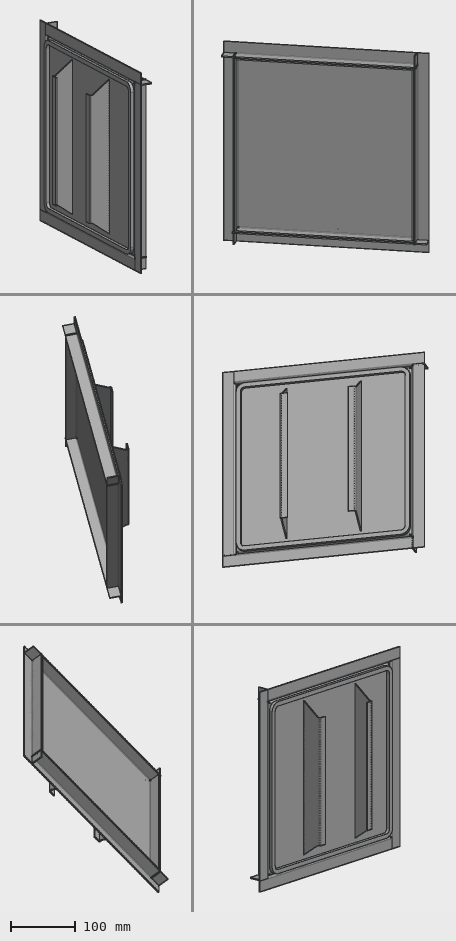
import cadquery as cq

FRAME_SIZE = 323.8
FRAME_HALF = FRAME_SIZE / 2

LEG = 20.0
ANGLE_THICKNESS = 2.0
ANGLE_INNER_RADIUS = 0.5
ANGLE_OUTER_RADIUS = ANGLE_THICKNESS + ANGLE_INNER_RADIUS
ANGLE_COUNT = 4
TAB_LENGTH = 1.0

PAN_GAP = 0.8
PAN_THICKNESS = 2.0
PAN_BEND_RADIUS = 3.0
PAN_SIZE = FRAME_SIZE - 2 * (LEG + PAN_GAP)
PAN_FRONT = 1.0
PAN_DEPTH = LEG - PAN_FRONT

GASKET_SIZE = 278.8
GASKET_WIDTH = 7.0
GASKET_PROTRUSION = 5.0
GASKET_THICKNESS = GASKET_PROTRUSION + PAN_FRONT
GASKET_OUTER_RADIUS = 14.2
GASKET_INNER_RADIUS = GASKET_OUTER_RADIUS - GASKET_WIDTH

BRACKET_REACH = 34.0
BRACKET_SPACING = 121.5
BRACKET_THICKNESS = 2.0
BRACKET_BEND_RADIUS = 2.3
BRACKET_BASE_LENGTH = 250.0
LIP_LENGTH = 207.2
LIP_WIDTH = 12.0
LIP_STRAIGHT_EDGE = 5.2


def plate(width, height, thickness, front):
    """Rectangular block centred on the Y axis, with its front face at Y = front."""
    return cq.Workplane("XY").box(width, thickness, height).translate((0, front + thickness / 2, 0))


def make_top_angle():
    """Top angle: flange at the front, web folded back along the inner edge."""
    web_face = LEG - ANGLE_THICKNESS
    start = -FRAME_HALF + web_face
    web_bottom = FRAME_HALF - LEG
    web_top = FRAME_HALF - web_face
    length = FRAME_HALF - start
    angle = (
        cq.Workplane("YZ", origin=(start, 0, 0))
        .moveTo(0, FRAME_HALF)
        .lineTo(ANGLE_THICKNESS, FRAME_HALF)
        .lineTo(ANGLE_THICKNESS, web_top + ANGLE_INNER_RADIUS)
        .radiusArc((ANGLE_THICKNESS + ANGLE_INNER_RADIUS, web_top), -ANGLE_INNER_RADIUS)
        .lineTo(LEG, web_top)
        .lineTo(LEG, web_bottom)
        .lineTo(ANGLE_OUTER_RADIUS, web_bottom)
        .radiusArc((0, web_bottom + ANGLE_OUTER_RADIUS), ANGLE_OUTER_RADIUS)
        .close()
        .extrude(length)
    )
    tab_front = ANGLE_THICKNESS + ANGLE_INNER_RADIUS
    tab = cq.Workplane("XY").box(
        TAB_LENGTH, LEG - tab_front, ANGLE_THICKNESS, centered=False
    ).translate((start - TAB_LENGTH, tab_front, web_bottom))
    return angle.union(tab)


def make_frame_angles():
    """Four angles around the Y axis; the far end of each is notched for the start of the next."""
    top_angle = make_top_angle()
    turn = 360 / ANGLE_COUNT
    blanks = [top_angle.rotate((0, 0, 0), (0, 1, 0), turn * i) for i in range(ANGLE_COUNT)]
    return [blanks[i].cut(blanks[(i + 1) % ANGLE_COUNT]) for i in range(ANGLE_COUNT)]


def make_pan():
    """Square pan with an open back, bent front edges and relief notches where the bends meet."""
    pan = plate(PAN_SIZE, PAN_SIZE, PAN_DEPTH, PAN_FRONT).faces("<Y").edges().fillet(PAN_BEND_RADIUS)
    inner_size = PAN_SIZE - 2 * PAN_THICKNESS
    cavity = (
        plate(inner_size, inner_size, PAN_DEPTH - PAN_THICKNESS, PAN_FRONT + PAN_THICKNESS)
        .faces("<Y").edges().fillet(PAN_BEND_RADIUS - PAN_THICKNESS)
    )
    corner_centre = (PAN_SIZE - PAN_BEND_RADIUS) / 2
    notches = plate(PAN_BEND_RADIUS, PAN_BEND_RADIUS, PAN_BEND_RADIUS, PAN_FRONT)
    for x_side in (-1, 1):
        for z_side in (-1, 1):
            pan = pan.cut(notches.translate((x_side * corner_centre, 0, z_side * corner_centre)))
    return pan.cut(cavity)


def make_gasket():
    """Ring of constant width standing on the front of the pan."""
    inner_size = GASKET_SIZE - 2 * GASKET_WIDTH
    outer = (
        plate(GASKET_SIZE, GASKET_SIZE, GASKET_THICKNESS, -GASKET_PROTRUSION)
        .edges("|Y").fillet(GASKET_OUTER_RADIUS)
    )
    opening = (
        plate(inner_size, inner_size, GASKET_THICKNESS, -GASKET_PROTRUSION)
        .edges("|Y").fillet(GASKET_INNER_RADIUS)
    )
    return outer.cut(opening)


def make_left_bracket():
    """Tapered plate on the -X side with its lip pointing toward +X."""
    outer_x = -BRACKET_SPACING / 2
    taper_end = -BRACKET_REACH + LIP_STRAIGHT_EDGE
    half_base = BRACKET_BASE_LENGTH / 2
    half_lip = LIP_LENGTH / 2
    web = (
        cq.Workplane("YZ", origin=(outer_x, 0, 0))
        .polyline([
            (PAN_FRONT, half_base),
            (taper_end, half_lip),
            (-BRACKET_REACH, half_lip),
            (-BRACKET_REACH, -half_lip),
            (taper_end, -half_lip),
            (PAN_FRONT, -half_base),
        ])
        .close()
        .extrude(BRACKET_THICKNESS)
    )
    lip = plate(LIP_WIDTH, LIP_LENGTH, BRACKET_THICKNESS, -BRACKET_REACH).translate(
        (outer_x + LIP_WIDTH / 2, 0, 0)
    )
    fold = cq.selectors.NearestToPointSelector((outer_x, -BRACKET_REACH, 0))
    return web.union(lip).edges("|Z").edges(fold).fillet(BRACKET_BEND_RADIUS)


frame_angles = make_frame_angles()
pan = make_pan()
gasket = make_gasket()
left_bracket = make_left_bracket()
brackets = [left_bracket, left_bracket.mirror("YZ")]

result = cq.Compound.makeCompound([
    *[angle.val() for angle in frame_angles],
    pan.val(),
    gasket.val(),
    *[bracket.val() for bracket in brackets],
])